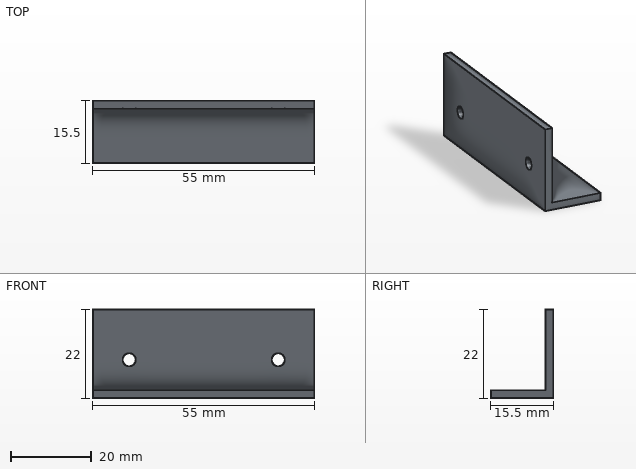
import cadquery as cq

length = 55.0
depth = 15.5
height = 22.0
thickness = 2.0

hole_diameter = 3.2
hole_spacing = 37.0
hole_height = 9.5


def make_angle():
    """L-shaped body, centred along X, upright leg at the +Y side."""
    base = cq.Workplane("XY").box(length, depth, thickness, centered=(True, False, False))
    upright = (
        cq.Workplane("XY")
        .box(length, thickness, height, centered=(True, False, False))
        .translate((0, depth - thickness, 0))
    )
    return base.union(upright)


def make_hole_cutters():
    """Pair of cylinders along Y, long enough to pass through the upright leg."""
    return (
        cq.Workplane("XZ", origin=(0, depth, hole_height))
        .rarray(hole_spacing, 0.55, 2, 1)
        .circle(hole_diameter / 2)
        .extrude(thickness)
    )


result = make_angle().cut(make_hole_cutters())